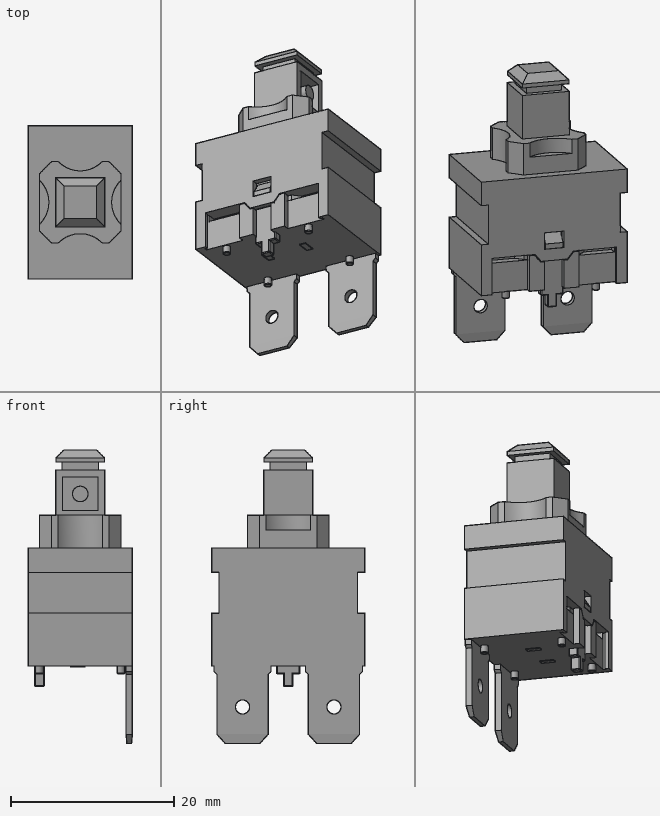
import cadquery as cq


HOUSING_X = 12.8
HOUSING_Y = 18.8
COVER_Y = 17.0
BASE_TOP = 6.5
FLANGE_BOTTOM = 11.5
COVER_TOP = 14.5
FACE_X = -HOUSING_X / 2

RECESS_Y = 16.0
RECESS_DEPTH = 0.8
RECESS_TOP = 4.65
RECESS_FLOOR_X = FACE_X + RECESS_DEPTH
UNDERCUT_WIDTH = 0.33
END_WALL_LIP = 0.47

SLOT_BOTTOM = 3.8
CORE_SETBACK = 0.3
CORE_TAPER = 0.9
SLOT_DEPTH = CORE_SETBACK + CORE_TAPER
CORE_FRONT_Y = 7.1
CORE_BACK_Y = CORE_FRONT_Y + 2 * CORE_TAPER

TONGUE_TOP_Y = 4.95
TONGUE_BOTTOM_Y = 3.4
TONGUE_BOTTOM = 3.7
POST_OUTER_Y = 3.2
POST_INNER_Y = 1.25
POST_GAP = 0.1

WINDOW_Y = 2.5
WINDOW_BOTTOM = 5.2
WINDOW_TOP = 7.3
WINDOW_DEPTH = 0.85
HOOK_Y = 2.25
HOOK_LIP_TOP = 5.85
HOOK_TOP = 7.05
HOOK_SETBACK = 0.05

COLLAR_SIZE = 10.0
COLLAR_CHAMFER = 1.5
COLLAR_TOP = 18.5
RELIEF_RADIUS = 3.75
RELIEF_DEPTH = 1.15
SIDE_RELIEF_HEIGHT = 1.8

PLUNGER_SIZE = 6.06
PLUNGER_TOP = 24.05
NECK_SIZE = 4.5
CAP_SIZE = 6.0
CAP_BOTTOM = 25.0
CAP_TOP = 26.5
CAP_CHAMFER = 1.0
POCKET_X = 4.3
POCKET_Z = 4.1
POCKET_DEPTH = 2.4
POCKET_CENTRE_Z = 21.1
STUD_DIAMETER = 1.9

PIN_DIAMETER = 0.95
PIN_LENGTH = 0.95
PIN_X = 5.0
PIN_Y = 5.8
PIN_CHAMFER = 0.1
REST_X = 1.8
REST_X_OFFSET = -0.3
REST_Y = 0.85
REST_HEIGHT = 0.1
REST_CENTRE_Y = 2.7
TAB_THICKNESS = 1.2
TAB_SHOULDER_Y = 2.9
TAB_SHOULDER_LENGTH = 0.95
TAB_LEG_Y = 1.2
TAB_LEG_LENGTH = 2.5
TAB_CHAMFER = 0.12

BLADE_THICKNESS = 0.8
BLADE_WIDTH = 6.3
BLADE_SHOULDER_WIDTH = 7.0
BLADE_SHOULDER_LENGTH = 0.65
BLADE_LENGTH = 9.5
BLADE_CENTRE_Y = 5.6
BLADE_TIP_LENGTH = 1.15
BLADE_TIP_INSET = 1.05
BLADE_TIP_THINNING = 0.1
BLADE_HOLE_DIAMETER = 1.7
BLADE_HOLE_Z = -5.0

ROOT_OVERLAP = 1.0


def block(x_size, y_size, z_low, z_high, x=0.0, y=0.0):
    """Upright box centred on (x, y) between two heights."""
    return cq.Workplane("XY", origin=(x, y, z_low)).rect(x_size, y_size).extrude(z_high - z_low)


def wall_prism(points, x_low, x_high):
    """Prism along X from a (y, z) outline."""
    return cq.Workplane("YZ", origin=(x_low, 0, 0)).polyline(points).close().extrude(x_high - x_low)


def mirrored(points):
    """Closed outline from its +Y half, ordered from the bottom to the top."""
    return points + [(-y, z) for y, z in reversed(points)]


def make_housing():
    housing = block(HOUSING_X, HOUSING_Y, 0, BASE_TOP)
    housing = housing.union(block(HOUSING_X, COVER_Y, BASE_TOP, FLANGE_BOTTOM))
    return housing.union(block(HOUSING_X, HOUSING_Y, FLANGE_BOTTOM, COVER_TOP))


def make_recess():
    """Recess with the tongue and the posts left standing."""
    recess = block(RECESS_DEPTH, RECESS_Y, 0, RECESS_TOP, x=FACE_X + RECESS_DEPTH / 2)
    tongue = mirrored([(TONGUE_BOTTOM_Y / 2, TONGUE_BOTTOM), (TONGUE_TOP_Y / 2, RECESS_TOP)])
    recess = recess.cut(wall_prism(tongue, FACE_X, RECESS_FLOOR_X))
    for side in (1, -1):
        post = [
            (side * POST_INNER_Y, 0),
            (side * POST_OUTER_Y, 0),
            (side * POST_OUTER_Y, RECESS_TOP - POST_GAP),
            (side * TONGUE_TOP_Y / 2, RECESS_TOP - POST_GAP),
            (side * TONGUE_BOTTOM_Y / 2, TONGUE_BOTTOM - POST_GAP),
            (side * POST_INNER_Y, TONGUE_BOTTOM - POST_GAP),
        ]
        recess = recess.cut(wall_prism(post, FACE_X, RECESS_FLOOR_X))
    return recess


def make_undercut():
    """Grooves that widen the recess behind the lips of its end walls."""
    depth = RECESS_DEPTH - END_WALL_LIP
    groove_x = RECESS_FLOOR_X - depth / 2
    grooves = block(depth, RECESS_Y + 2 * UNDERCUT_WIDTH, 0, RECESS_TOP, x=groove_x)
    return grooves.cut(block(depth, RECESS_Y, 0, RECESS_TOP, x=groove_x))


def make_slot():
    """Undercut at the recess floor around a core that widens inward."""
    slot = block(SLOT_DEPTH, RECESS_Y, SLOT_BOTTOM, RECESS_TOP, x=RECESS_FLOOR_X + SLOT_DEPTH / 2)
    core_front_x = RECESS_FLOOR_X + CORE_SETBACK
    slot_back_x = RECESS_FLOOR_X + SLOT_DEPTH
    core = (
        cq.Workplane("XY", origin=(0, 0, SLOT_BOTTOM))
        .polyline([
            (core_front_x, -CORE_FRONT_Y / 2),
            (core_front_x, CORE_FRONT_Y / 2),
            (slot_back_x, CORE_BACK_Y / 2),
            (slot_back_x, -CORE_BACK_Y / 2),
        ])
        .close()
        .extrude(RECESS_TOP - SLOT_BOTTOM)
    )
    return slot.cut(core)


def make_window():
    return block(WINDOW_DEPTH, WINDOW_Y, WINDOW_BOTTOM, WINDOW_TOP, x=FACE_X + WINDOW_DEPTH / 2)


def make_hook():
    """Latch hook with a steep ramp above its lip."""
    lip_x = FACE_X + HOOK_SETBACK
    back_x = FACE_X + WINDOW_DEPTH
    return (
        cq.Workplane("XZ", origin=(0, HOOK_Y / 2, 0))
        .polyline([
            (lip_x, WINDOW_BOTTOM),
            (lip_x, HOOK_LIP_TOP),
            (back_x, HOOK_TOP),
            (back_x, WINDOW_BOTTOM),
        ])
        .close()
        .extrude(HOOK_Y)
    )


def make_collar():
    collar = block(COLLAR_SIZE, COLLAR_SIZE, COVER_TOP, COLLAR_TOP).edges("|Z").chamfer(COLLAR_CHAMFER)
    relief_centre = COLLAR_SIZE / 2 - RELIEF_DEPTH + RELIEF_RADIUS
    for side in (1, -1):
        through_relief = (
            cq.Workplane("XY", origin=(0, side * relief_centre, COVER_TOP))
            .circle(RELIEF_RADIUS)
            .extrude(COLLAR_TOP - COVER_TOP)
        )
        side_relief = (
            cq.Workplane("XY", origin=(side * relief_centre, 0, COLLAR_TOP - SIDE_RELIEF_HEIGHT))
            .circle(RELIEF_RADIUS)
            .extrude(SIDE_RELIEF_HEIGHT)
        )
        collar = collar.cut(through_relief).cut(side_relief)
    return collar


def make_plunger():
    plunger = block(PLUNGER_SIZE, PLUNGER_SIZE, COLLAR_TOP, PLUNGER_TOP)
    plunger = plunger.union(block(NECK_SIZE, NECK_SIZE, PLUNGER_TOP, CAP_BOTTOM))
    cap = block(CAP_SIZE, CAP_SIZE, CAP_BOTTOM, CAP_TOP)
    plunger = plunger.union(cap.faces(">Z").chamfer(CAP_CHAMFER))

    front_plane = cq.Workplane("XZ", origin=(0, -PLUNGER_SIZE / 2, POCKET_CENTRE_Z))
    pocket = front_plane.rect(POCKET_X, POCKET_Z).extrude(-POCKET_DEPTH)
    stud = front_plane.circle(STUD_DIAMETER / 2).extrude(-POCKET_DEPTH)
    return plunger.cut(pocket.cut(stud))


def make_pin(x, y):
    pin = cq.Workplane("XY", origin=(x, y, -PIN_LENGTH)).circle(PIN_DIAMETER / 2)
    return pin.extrude(PIN_LENGTH + ROOT_OVERLAP).faces("<Z").chamfer(PIN_CHAMFER)


def make_rest(y):
    return block(REST_X, REST_Y, -REST_HEIGHT, ROOT_OVERLAP, x=REST_X_OFFSET, y=y)


def make_tab():
    """Stepped locating tab level with the recess floor."""
    tab_x = RECESS_FLOOR_X + TAB_THICKNESS / 2
    shoulder = block(TAB_THICKNESS, TAB_SHOULDER_Y, -TAB_SHOULDER_LENGTH, 0, x=tab_x)
    shoulder = shoulder.edges("|Z or <Z").chamfer(TAB_CHAMFER)
    leg = block(TAB_THICKNESS, TAB_LEG_Y, -TAB_LEG_LENGTH, 0, x=tab_x)
    return shoulder.union(leg.edges("|Z or <Z").chamfer(TAB_CHAMFER))


def make_blade(y):
    """Flat terminal with narrowing shoulders and a tapered tip."""
    half_width = BLADE_WIDTH / 2
    half_shoulder = BLADE_SHOULDER_WIDTH / 2
    shoulder_end = -BLADE_SHOULDER_LENGTH - (half_shoulder - half_width)
    tip_start = -BLADE_LENGTH + BLADE_TIP_LENGTH
    outer_x = HOUSING_X / 2
    inner_x = outer_x - BLADE_THICKNESS
    outline = mirrored([
        (half_width - BLADE_TIP_INSET, -BLADE_LENGTH),
        (half_width, tip_start),
        (half_width, shoulder_end),
        (half_shoulder, -BLADE_SHOULDER_LENGTH),
        (half_shoulder, ROOT_OVERLAP),
    ])
    blade = wall_prism(outline, inner_x, outer_x)

    section = [
        (inner_x, ROOT_OVERLAP),
        (inner_x, tip_start),
        (inner_x + BLADE_TIP_THINNING, -BLADE_LENGTH),
        (outer_x - BLADE_TIP_THINNING, -BLADE_LENGTH),
        (outer_x, tip_start),
        (outer_x, ROOT_OVERLAP),
    ]
    profile = cq.Workplane("XZ").polyline(section).close().extrude(half_shoulder, both=True)
    hole = cq.Workplane("YZ", origin=(inner_x, 0, BLADE_HOLE_Z)).circle(BLADE_HOLE_DIAMETER / 2)
    blade = blade.intersect(profile).cut(hole.extrude(BLADE_THICKNESS))
    return blade.translate((0, y, 0))


result = make_housing().cut(make_recess()).cut(make_undercut()).cut(make_slot()).cut(make_window())
result = result.union(make_hook()).union(make_collar()).union(make_plunger()).union(make_tab())
for side in (1, -1):
    result = result.union(make_rest(side * REST_CENTRE_Y))
    result = result.union(make_blade(side * BLADE_CENTRE_Y))
    for pin_x in (PIN_X, -PIN_X):
        result = result.union(make_pin(pin_x, side * PIN_Y))